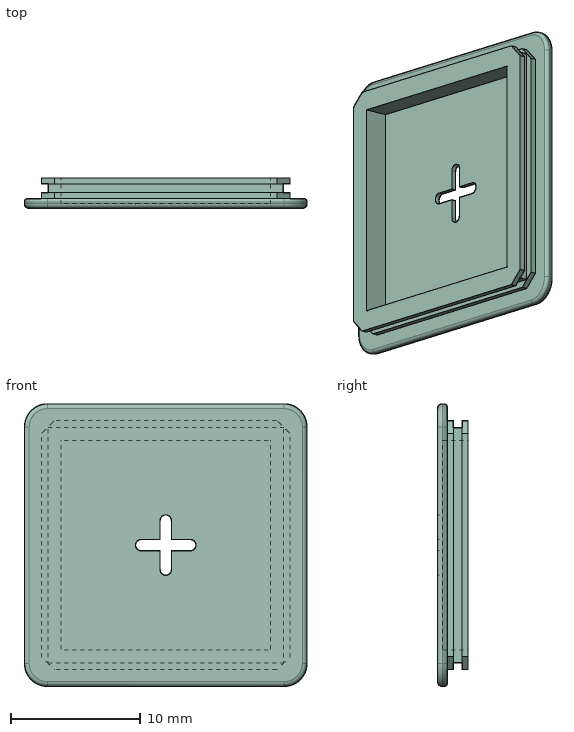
import cadquery as cq

plate_side = 21.85
plate_thickness = 0.76
plate_corner_radius = 1.8
front_edge_radius = 0.37
back_edge_radius = 0.26

flange_side = 19.22
flange_thickness = 0.45
flange_corner_chamfer = 1.0
groove_width = 0.68
groove_depth = 0.52
neck_side = flange_side - 2 * groove_depth

cross_length = 4.65
cross_arm_width = 0.85

rim_wall = 1.0
recess_side = neck_side - 2 * rim_wall
floor_thickness = 0.4

groove_start = plate_thickness + flange_thickness
groove_end = groove_start + groove_width
plug_back = groove_end + flange_thickness


def square_layer(side, start, end):
    """Square slab centred on the Y axis, spanning start to end along Y."""
    return cq.Workplane("XY").box(side, end - start, side).translate((0, (start + end) / 2, 0))


def cover_plate():
    plate = square_layer(plate_side, 0, plate_thickness)
    plate = plate.edges("|Y").fillet(plate_corner_radius)
    plate = plate.faces("<Y").edges().fillet(front_edge_radius)
    return plate.faces(">Y").edges().fillet(back_edge_radius)


def flange(start):
    slab = square_layer(flange_side, start, start + flange_thickness)
    return slab.edges("|Y").chamfer(flange_corner_chamfer)


def cross_cutter():
    """Two crossed slots, long enough to pass through every layer."""
    profile = cq.Workplane("XZ")
    upright = profile.slot2D(cross_length, cross_arm_width, 90).extrude(-plug_back)
    crossbar = profile.slot2D(cross_length, cross_arm_width).extrude(-plug_back)
    return upright.union(crossbar)


neck = square_layer(neck_side, groove_start, groove_end)
body = cover_plate().union(flange(plate_thickness)).union(neck).union(flange(groove_end))
recess = square_layer(recess_side, floor_thickness, plug_back)
result = body.cut(recess).cut(cross_cutter())